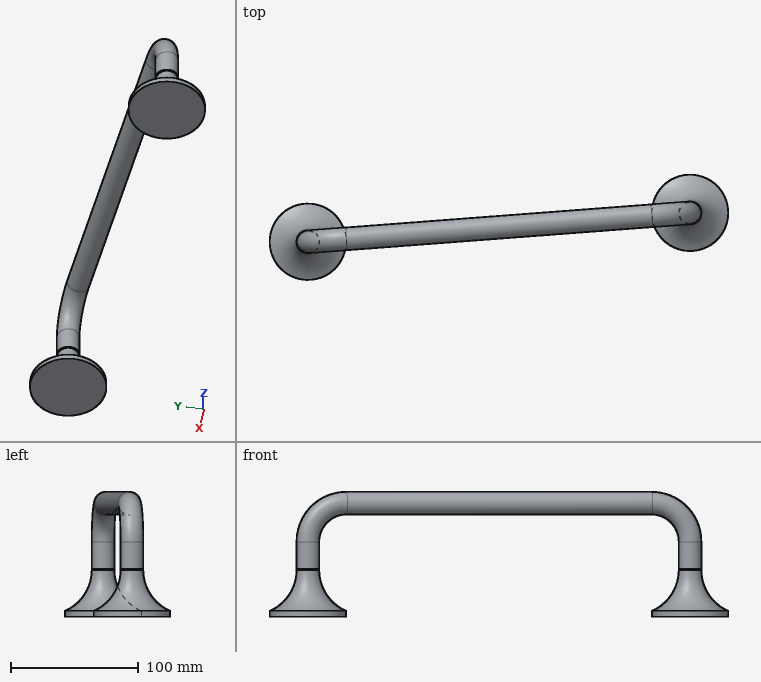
import cadquery as cq
import math

overall_length = 359.0
overall_width = 82.5
overall_height = 98.0

foot_diameter = 60.0
foot_radius = foot_diameter / 2
rim_height = 4.5
flare_top = 36.5
neck_diameter = 17.2
neck_height = 1.0
foot_height = flare_top + neck_height

tube_diameter = 18.0
tube_radius = tube_diameter / 2
bend_radius = 30.0

span_x = overall_length - foot_diameter
span_y = overall_width - foot_diameter
span = math.hypot(span_x, span_y)
skew_angle = math.degrees(math.atan2(span_y, span_x))
foot_centres = [(-span_x / 2, -span_y / 2), (span_x / 2, span_y / 2)]


def make_foot(centre):
    """Trumpet-shaped foot with a thin rim below and a short narrower neck on top."""
    flare_width = foot_radius - tube_radius
    flare_height = flare_top - rim_height
    flare_radius = (flare_width**2 + flare_height**2) / (2 * flare_width)
    half_sweep = math.asin(flare_height / flare_radius) / 2
    flare_middle = (
        tube_radius + flare_radius * (1 - math.cos(half_sweep)),
        flare_top - flare_radius * math.sin(half_sweep),
    )
    profile = (
        cq.Workplane("XZ")
        .lineTo(foot_radius, 0)
        .lineTo(foot_radius, rim_height)
        .threePointArc(flare_middle, (tube_radius, flare_top))
        .lineTo(neck_diameter / 2, flare_top)
        .lineTo(neck_diameter / 2, foot_height)
        .lineTo(0, foot_height)
        .close()
    )
    foot = profile.revolve(360, (0, 0, 0), (0, 1, 0))
    return foot.translate((*centre, 0))


def make_handle_tube():
    """Round bar with two legs standing on the feet and a bend at each end."""
    half_span = span / 2
    axis_height = overall_height - tube_radius
    bend_start = axis_height - bend_radius
    bend_inset = bend_radius * (1 - math.sqrt(0.5))
    path = (
        cq.Workplane("XZ")
        .moveTo(-half_span, foot_height)
        .lineTo(-half_span, bend_start)
        .threePointArc(
            (-half_span + bend_inset, axis_height - bend_inset),
            (-half_span + bend_radius, axis_height),
        )
        .lineTo(half_span - bend_radius, axis_height)
        .threePointArc(
            (half_span - bend_inset, axis_height - bend_inset),
            (half_span, bend_start),
        )
        .lineTo(half_span, foot_height)
    )
    section = cq.Workplane("XY", origin=(-half_span, 0, foot_height)).circle(tube_radius)
    return section.sweep(path).rotate((0, 0, 0), (0, 0, 1), skew_angle)


handle_tube = make_handle_tube()
feet = [make_foot(centre) for centre in foot_centres]

result = cq.Compound.makeCompound([handle_tube.val(), *[foot.val() for foot in feet]])